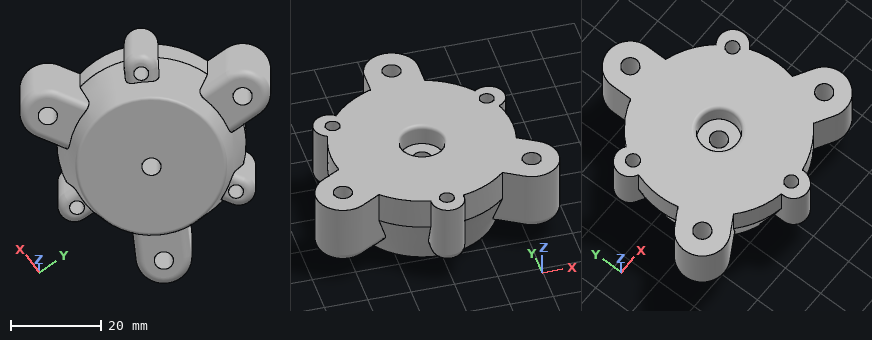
import cadquery as cq
import math

disc_radius = 21.0
disc_height = 7.5
total_height = 20.0
hub_taper = 19.0
hub_bottom_radius = disc_radius - (total_height - disc_height) * math.tan(math.radians(hub_taper))
hub_edge_round = 0.85

bore_diameter = 4.2
recess_diameter = 10.0
recess_depth = 5.0
recess_lip_round = 1.0

arm_count = 3
arm_height = 15.0
arm_edge_round = 1.95
arm_root_distance = 11.25

lug_radius = 6.25
lug_distance = 25.1
lug_hole_diameter = bore_diameter
lug_first_angle = 90

boss_radius = 3.8
boss_distance = 21.2
boss_hole_diameter = 3.25
boss_hole_distance = 20.5
boss_first_angle = -90


def make_body():
    """Disc with the tapered hub hanging below it."""
    disc = cq.Workplane("XY").circle(disc_radius).extrude(-disc_height)
    hub = (
        cq.Workplane("XY", origin=(0, 0, -disc_height))
        .circle(disc_radius)
        .workplane(offset=-(total_height - disc_height))
        .circle(hub_bottom_radius)
        .loft(ruled=True)
        .faces("<Z")
        .edges()
        .fillet(hub_edge_round)
    )
    return disc.union(hub)


def make_arm(radius, distance):
    """Round-ended arm along +X with its lower edge rounded."""
    return (
        cq.Workplane("XY")
        .moveTo(arm_root_distance, -radius)
        .lineTo(distance, -radius)
        .threePointArc((distance + radius, 0), (distance, radius))
        .lineTo(arm_root_distance, radius)
        .close()
        .extrude(-arm_height)
        .faces("<Z")
        .edges()
        .fillet(arm_edge_round)
    )


def add_arms(part, radius, distance, first_angle):
    """Join evenly spaced arms to the part."""
    arm = make_arm(radius, distance)
    for index in range(arm_count):
        angle = first_angle + index * 360 / arm_count
        part = part.union(arm.rotate((0, 0, 0), (0, 0, 1), angle))
    return part


def drill_arms(part, diameter, distance, first_angle):
    """Drill one hole through each arm, parallel to the axis."""
    holes = (
        cq.Workplane("XY")
        .polarArray(distance, first_angle, 360, arm_count)
        .circle(diameter / 2)
        .extrude(-total_height)
    )
    return part.cut(holes)


def make_bore():
    """Through bore with a wider recess at the top, its lip rounded outward."""
    recess_radius = recess_diameter / 2
    lip_drop = recess_lip_round * (1 - math.sqrt(0.5))
    profile = (
        cq.Workplane("XZ")
        .lineTo(recess_radius + recess_lip_round, 0)
        .threePointArc(
            (recess_radius + lip_drop, -lip_drop),
            (recess_radius, -recess_lip_round),
        )
        .lineTo(recess_radius, -recess_depth)
        .lineTo(bore_diameter / 2, -recess_depth)
        .lineTo(bore_diameter / 2, -total_height)
        .lineTo(0, -total_height)
        .close()
    )
    return profile.revolve(360, (0, 0, 0), (0, 1, 0))


result = make_body()
result = add_arms(result, lug_radius, lug_distance, lug_first_angle)
result = add_arms(result, boss_radius, boss_distance, boss_first_angle)
result = drill_arms(result, lug_hole_diameter, lug_distance, lug_first_angle)
result = drill_arms(result, boss_hole_diameter, boss_hole_distance, boss_first_angle)
result = result.cut(make_bore())